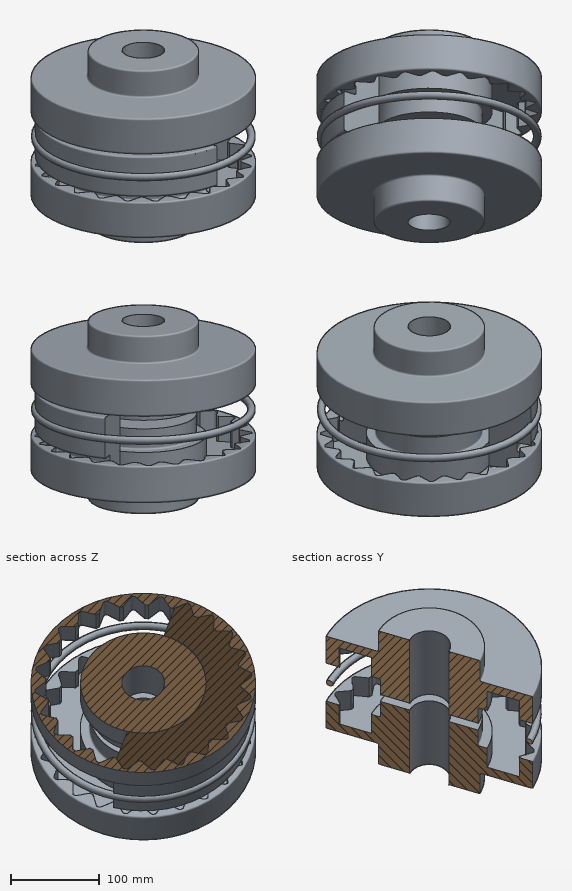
import cadquery as cq
import math


edge_radius = 2.0
overall_height = 209.5

flange_radius = 127.0
outer_boss_radius = 62.5
inner_boss_radius = 60.0
bore_radius = 24.0
hub_end_z = overall_height / 2
flange_outer_z = 72.5
flange_inner_z = 29.5
hub_gap = 10.2

tooth_count = 24
pocket_inner_radius = 71.0
pocket_depth = 29.7
pocket_floor_z = flange_inner_z + pocket_depth
tooth_root_radius = 110.0
tooth_tip_radius = 122.7
tooth_flank_end_radius = 121.2
tooth_root_half_angle = 6.4
tooth_flank_end_half_angle = 1.5

disc_radius = 122.2
disc_half_height = 24.1
neck_radius = 105.2
tooth_recess = 6.0
tooth_top_z = flange_inner_z + tooth_recess
element_cut_y = -2.5

wire_radius = 4.3


def polar(radius, angle):
    """Point at a radius and an angle in degrees."""
    return (radius * math.cos(math.radians(angle)), radius * math.sin(math.radians(angle)))


def toothed_ring(bottom_z, top_z):
    """Ring with a round inside and tapered teeth around its outside."""
    pitch = 360 / tooth_count
    outline = cq.Workplane("XY", origin=(0, 0, bottom_z))
    outline = outline.moveTo(*polar(tooth_root_radius, pitch / 2 - tooth_root_half_angle))
    for index in range(tooth_count):
        middle = (index + 0.5) * pitch
        outline = (
            outline.lineTo(*polar(tooth_flank_end_radius, middle - tooth_flank_end_half_angle))
            .threePointArc(
                polar(tooth_tip_radius, middle),
                polar(tooth_flank_end_radius, middle + tooth_flank_end_half_angle),
            )
            .lineTo(*polar(tooth_root_radius, middle + tooth_root_half_angle))
        )
        if index < tooth_count - 1:
            outline = outline.threePointArc(
                polar(tooth_root_radius, middle + pitch / 2),
                polar(tooth_root_radius, middle + pitch - tooth_root_half_angle),
            )
    outline = outline.threePointArc(
        polar(tooth_root_radius, 0), polar(tooth_root_radius, pitch / 2 - tooth_root_half_angle)
    ).close()
    height = top_z - bottom_z
    opening = cq.Workplane("XY", origin=(0, 0, bottom_z)).circle(pocket_inner_radius).extrude(height)
    return outline.extrude(height).cut(opening)


def circle_edges(body, radius, z):
    """The circular edges of a body with a given radius at a given height."""
    margin = 0.03

    def matches(edge):
        return abs(edge.radius() - radius) < margin and abs(edge.Center().z - z) < margin

    return body.edges("%CIRCLE").filter(matches)


def upper_hub():
    """Upper hub: flange, two bosses, bore and toothed pocket."""
    def cylinder(radius, bottom_z, top_z):
        return cq.Workplane("XY", origin=(0, 0, bottom_z)).circle(radius).extrude(top_z - bottom_z)

    hub = cylinder(flange_radius, flange_inner_z, flange_outer_z)
    hub = hub.union(cylinder(outer_boss_radius, flange_outer_z, hub_end_z))
    hub = hub.union(cylinder(inner_boss_radius, hub_gap / 2, flange_inner_z))
    for radius, z in (
        (flange_radius, flange_inner_z),
        (flange_radius, flange_outer_z),
        (inner_boss_radius, flange_inner_z),
        (outer_boss_radius, flange_outer_z),
        (outer_boss_radius, hub_end_z),
    ):
        hub = circle_edges(hub, radius, z).fillet(edge_radius)
    hub = hub.cut(cylinder(bore_radius, 0, hub_end_z))
    return hub.cut(toothed_ring(flange_inner_z, pocket_floor_z))


def wire_ring():
    """Round wire bent into a full circle at mid height."""
    return (
        cq.Workplane("XZ")
        .center(disc_radius, 0)
        .circle(wire_radius)
        .revolve(360, (-disc_radius, 0), (-disc_radius, 1))
    )


def elastomer_element():
    """Half ring: disc, two necks and two rows of teeth, grooved for the wire."""
    def ring(radius, half_height):
        return (
            cq.Workplane("XY")
            .circle(radius)
            .circle(pocket_inner_radius)
            .extrude(half_height, both=True)
        )

    element = ring(disc_radius, disc_half_height).union(ring(neck_radius, tooth_top_z))
    for side in (-1, 1):
        disc_face_z = side * disc_half_height
        element = circle_edges(element, disc_radius, disc_face_z).fillet(edge_radius)
        element = circle_edges(element, neck_radius, disc_face_z).fillet(edge_radius)
        bottom_z, top_z = sorted((side * tooth_top_z, side * pocket_floor_z))
        element = element.union(toothed_ring(bottom_z, top_z))
        element = circle_edges(element, neck_radius, side * tooth_top_z).fillet(edge_radius)
    element = element.cut(wire_ring())
    kept_half = cq.Workplane("XY").box(
        2 * flange_radius, flange_radius, overall_height, centered=(True, False, True)
    ).translate((0, element_cut_y - flange_radius, 0))
    return element.intersect(kept_half)


top_hub = upper_hub()
bottom_hub = top_hub.mirror("XY")
element = elastomer_element()
ring = wire_ring()

result = cq.Compound.makeCompound([
    top_hub.solids().val(), bottom_hub.solids().val(), element.solids().val(), ring.val()
])